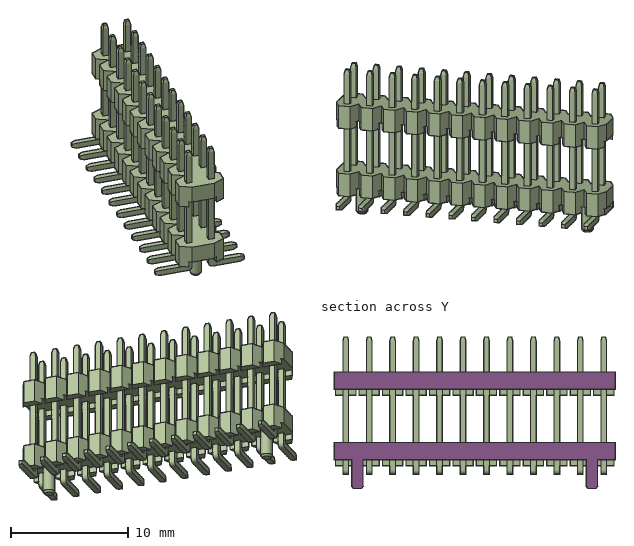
import cadquery as cq

columns = 12
length = 24.0
pitch = length / columns
pin_width = pitch / 4
overall_depth = 4 * pitch

block_height = pitch
block_half_depth = pitch
notch_depth = pitch / 2
notch_half_width = pitch / 4
channel_depth = 0.5
channel_width = pitch + pin_width
block_spacing = 6.0

pin_rise = 3.0
foot_drop = 0.75
tip_length = 0.35
tip_inset = 0.1
bend_outer_radius = 0.35
bend_inner_radius = 0.17

peg_diameter = 1.0
peg_drop = 1.95
peg_chamfer_height = 0.2
peg_chamfer_inset = 0.15
peg_x = length / 2 - pitch

upper_block_z = block_spacing
pin_top = upper_block_z + block_height + pin_rise
foot_bottom = -foot_drop
foot_top = foot_bottom + pin_width
row_y = pitch / 2
column_xs = [(i - (columns - 1) / 2) * pitch for i in range(columns)]


def make_block(bottom_z):
    """Row of octagonal cells sharing their flat ends, grooved along the underside."""
    edge = []
    for x in column_xs:
        edge.append((x - pitch / 2, block_half_depth - notch_depth))
        edge.append((x - pitch / 2 + notch_half_width, block_half_depth))
        edge.append((x + pitch / 2 - notch_half_width, block_half_depth))
    edge.append((length / 2, block_half_depth - notch_depth))
    opposite_edge = [(x, -y) for x, y in reversed(edge)]
    block = cq.Workplane("XY").polyline(edge + opposite_edge).close().extrude(block_height)
    channel = cq.Workplane("XY").box(length, channel_width, channel_depth, centered=(True, True, False))
    return block.cut(channel).translate((0, 0, bottom_z))


def make_tip(base_plane):
    """Square tapered tip standing on the given plane."""
    end_width = pin_width - 2 * tip_inset
    return (
        cq.Workplane(base_plane)
        .rect(pin_width, pin_width)
        .workplane(offset=tip_length)
        .rect(end_width, end_width)
        .loft(ruled=True)
    )


def make_pin():
    """L-shaped pin of the -Y row at X = 0, its foot pointing to -Y."""
    outer_y = -row_y - pin_width / 2
    inner_y = -row_y + pin_width / 2
    shaft_end = pin_top - tip_length
    foot_end = -overall_depth / 2 + tip_length
    profile = [
        (outer_y, shaft_end),
        (outer_y, foot_top),
        (foot_end, foot_top),
        (foot_end, foot_bottom),
        (inner_y, foot_bottom),
        (inner_y, shaft_end),
    ]
    pin = cq.Workplane("YZ").polyline(profile).close().extrude(pin_width / 2, both=True)
    pin = pin.edges(cq.selectors.NearestToPointSelector((0, inner_y, foot_bottom))).fillet(bend_outer_radius)
    pin = pin.edges(cq.selectors.NearestToPointSelector((0, outer_y, foot_top))).fillet(bend_inner_radius)
    shaft_plane = cq.Plane(origin=(0, -row_y, shaft_end), xDir=(1, 0, 0), normal=(0, 0, 1))
    foot_plane = cq.Plane(
        origin=(0, foot_end, foot_bottom + pin_width / 2), xDir=(1, 0, 0), normal=(0, -1, 0)
    )
    return pin.union(make_tip(shaft_plane)).union(make_tip(foot_plane))


def make_peg(x):
    """Round peg from the channel roof down to a short cone."""
    radius = peg_diameter / 2
    profile = [
        (0, channel_depth),
        (radius, channel_depth),
        (radius, -peg_drop + peg_chamfer_height),
        (radius - peg_chamfer_inset, -peg_drop),
        (0, -peg_drop),
    ]
    peg = cq.Workplane("XZ").polyline(profile).close().revolve(360, (0, 0), (0, 1))
    return peg.translate((x, 0, 0))


result = make_block(0).union(make_block(upper_block_z))

front_pin = make_pin()
back_pin = front_pin.mirror("XZ")
for column_x in column_xs:
    for pin in (front_pin, back_pin):
        result = result.union(pin.translate((column_x, 0, 0)))

for x in (-peg_x, peg_x):
    result = result.union(make_peg(x))